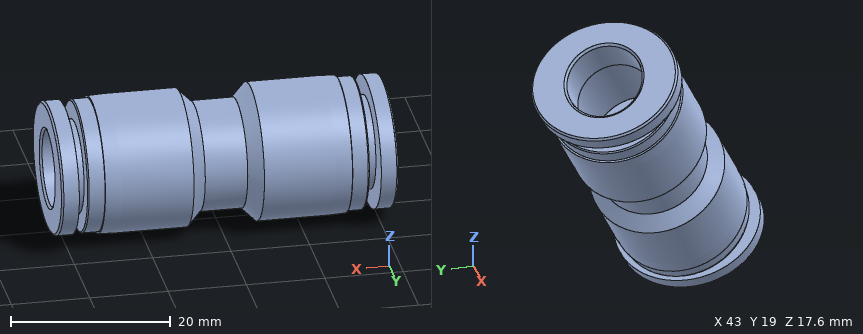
import cadquery as cq

LENGTH = 43.0
HALF_LENGTH = LENGTH / 2

FLANGE_WIDTH = 19.0
FLANGE_HEIGHT = 16.6
FLANGE_THICKNESS = 2.25
FLANGE_CHAMFER = 0.25
SLEEVE_DIAMETER = 11.9
BORE_DIAMETER = 9.75
BORE_MOUTH_CHAMFER = 0.3
SLEEVE_LENGTH = 5.68

FLANGE_GAP = 1.3
HOUSING_HALF_LENGTH = HALF_LENGTH - FLANGE_THICKNESS - FLANGE_GAP
END_BAND_DIAMETER = 16.9
END_BAND_LENGTH = 2.2
END_BAND_CHAMFER = 0.17
BARREL_DIAMETER = 17.6
BARREL_LEAD_DIAMETER = 17.4
BARREL_LEAD_LENGTH = 2.1
NECK_DIAMETER = 14.0
NECK_HALF_LENGTH = 2.7
SHOULDER_LENGTH = (BARREL_DIAMETER - NECK_DIAMETER) / 2
SOCKET_DEPTH = 13.75


def cylinder_x(diameter, start, length):
    """Cylinder along +X that begins at x = start."""
    return cq.Workplane("YZ", origin=(start, 0, 0)).circle(diameter / 2).extrude(length)


def make_housing():
    """Turned body with a blind socket in each end."""
    band_radius = END_BAND_DIAMETER / 2
    step = HOUSING_HALF_LENGTH - END_BAND_LENGTH
    right_profile = [
        (NECK_HALF_LENGTH, NECK_DIAMETER / 2),
        (NECK_HALF_LENGTH + SHOULDER_LENGTH, BARREL_DIAMETER / 2),
        (step - BARREL_LEAD_LENGTH, BARREL_DIAMETER / 2),
        (step, BARREL_LEAD_DIAMETER / 2),
        (step, band_radius),
        (HOUSING_HALF_LENGTH - END_BAND_CHAMFER, band_radius),
        (HOUSING_HALF_LENGTH, band_radius - END_BAND_CHAMFER),
        (HOUSING_HALF_LENGTH, 0),
    ]
    left_profile = [(-x, radius) for x, radius in reversed(right_profile)]
    outline = cq.Workplane("XY").polyline(left_profile + right_profile).close()
    housing = outline.revolve(360, (0, 0, 0), (1, 0, 0))

    left_socket = cylinder_x(SLEEVE_DIAMETER, -HOUSING_HALF_LENGTH, SOCKET_DEPTH)
    return housing.cut(left_socket).cut(left_socket.mirror("YZ"))


def make_left_sleeve():
    """Release sleeve at the -X end, with its flange outside the housing."""
    flange = (
        cq.Workplane("YZ", origin=(-HALF_LENGTH, 0, 0))
        .ellipse(FLANGE_WIDTH / 2, FLANGE_HEIGHT / 2)
        .extrude(FLANGE_THICKNESS)
        .faces("<X")
        .chamfer(FLANGE_CHAMFER)
    )
    tube = cylinder_x(SLEEVE_DIAMETER, -HALF_LENGTH, SLEEVE_LENGTH)
    bore = cylinder_x(BORE_DIAMETER, -HALF_LENGTH, SLEEVE_LENGTH)
    sleeve = flange.union(tube).cut(bore)
    mouth = cq.selectors.RadiusNthSelector(0)
    return sleeve.faces("<X").edges(mouth).chamfer(BORE_MOUTH_CHAMFER)


housing = make_housing()
left_sleeve = make_left_sleeve()
sleeves = [left_sleeve, left_sleeve.mirror("YZ")]

result = cq.Compound.makeCompound([housing.val(), *[sleeve.val() for sleeve in sleeves]])